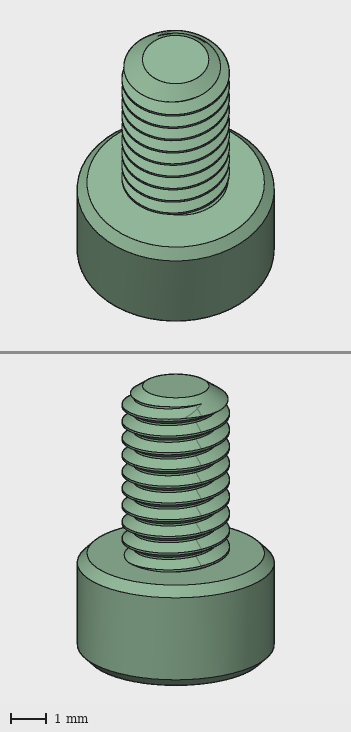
import cadquery as cq
import math

HEAD_DIAMETER = 5.5
HEAD_HEIGHT = 3.0
HEAD_CHAMFER = 0.275

THREAD_DIAMETER = 3.0
SHANK_LENGTH = 5.0
TIP_DIAMETER = 1.85
TIP_CONE_ANGLE = 35.0

PITCH = 0.5
CREST_FLAT = PITCH / 8
ROOT_FLAT = PITCH / 8
FLANK_ANGLE = 30.0

SUNK_TURNS = 2
SPARE_TIP_TURNS = 1
TRIM_CLEARANCE = 1.0

HEAD_RADIUS = HEAD_DIAMETER / 2
THREAD_RADIUS = THREAD_DIAMETER / 2
TIP_RADIUS = TIP_DIAMETER / 2
TOTAL_HEIGHT = HEAD_HEIGHT + SHANK_LENGTH
TIP_SLOPE = math.tan(math.radians(TIP_CONE_ANGLE))
FLANK_RISE = (PITCH - CREST_FLAT - ROOT_FLAT) / 2
ROOT_RADIUS = THREAD_RADIUS - FLANK_RISE / math.tan(math.radians(FLANK_ANGLE))
ROOT_OFFSET = PITCH - FLANK_RISE
TURN_COUNT = math.ceil(SHANK_LENGTH / PITCH) + SUNK_TURNS + SPARE_TIP_TURNS

TURN_PROFILE = [
    (ROOT_RADIUS, 0),
    (ROOT_RADIUS, ROOT_FLAT),
    (THREAD_RADIUS, ROOT_FLAT + FLANK_RISE),
    (THREAD_RADIUS, PITCH - FLANK_RISE),
    (ROOT_RADIUS, PITCH),
]


def revolve_about_z(outline):
    """Full turn about Z of an outline given as (radius, height), starting on the -X side."""
    points = [(-radius, height) for radius, height in outline]
    return cq.Workplane("XZ").polyline(points).close().revolve(360, (0, 0), (0, 1))


def make_head():
    """Cylindrical head, chamfered on both rims."""
    rim_radius = HEAD_RADIUS - HEAD_CHAMFER
    return revolve_about_z([
        (0, 0),
        (rim_radius, 0),
        (HEAD_RADIUS, HEAD_CHAMFER),
        (HEAD_RADIUS, HEAD_HEIGHT - HEAD_CHAMFER),
        (rim_radius, HEAD_HEIGHT),
        (0, HEAD_HEIGHT),
    ])


def helix_turn(radius, height):
    """One turn of the thread helix, starting on the +X side at the given height."""
    return cq.Wire.makeHelix(PITCH, PITCH, radius, center=cq.Vector(0, 0, height)).Edges()[0]


def end_faces(height):
    """Helical ramp from the axis to the root, and the radial step joining its two ends."""
    axis_edge = cq.Edge.makeLine(cq.Vector(0, 0, height), cq.Vector(0, 0, height + PITCH))
    ramp = cq.Face.makeRuledSurface(helix_turn(ROOT_RADIUS, height), axis_edge)
    step_outline = [(0, 0)] + TURN_PROFILE + [(0, PITCH)]
    corners = [cq.Vector(radius, 0, height + rise) for radius, rise in step_outline]
    step = cq.Face.makeFromWires(cq.Wire.makePolygon(corners, close=True))
    return [ramp, step]


def make_threaded_rod():
    """Solid rod whose whole outside is thread, with a stepped helical ramp at each end."""
    faces = end_faces(0) + end_faces(TURN_COUNT * PITCH)
    for turn in range(TURN_COUNT):
        base = turn * PITCH
        for (radius, rise), (next_radius, next_rise) in zip(TURN_PROFILE, TURN_PROFILE[1:]):
            lower_edge = helix_turn(radius, base + rise)
            upper_edge = helix_turn(next_radius, base + next_rise)
            faces.append(cq.Face.makeRuledSurface(lower_edge, upper_edge))
    rod = cq.Solid.makeSolid(cq.Shell.makeShell(faces)).fix()
    start_height = HEAD_HEIGHT + ROOT_OFFSET - SUNK_TURNS * PITCH
    return cq.Workplane(rod).rotate((0, 0, 0), (0, 0, 1), 180).translate((0, 0, start_height))


def make_trimming_body():
    """Body of revolution that clears the thread and gives the shank its conical tip."""
    outer_radius = THREAD_RADIUS + TRIM_CLEARANCE
    cone_base_height = TOTAL_HEIGHT - (outer_radius - TIP_RADIUS) * TIP_SLOPE
    return revolve_about_z([
        (0, 0),
        (outer_radius, 0),
        (outer_radius, cone_base_height),
        (TIP_RADIUS, TOTAL_HEIGHT),
        (0, TOTAL_HEIGHT),
    ])


threaded_shank = make_threaded_rod().intersect(make_trimming_body())
result = make_head().union(threaded_shank)